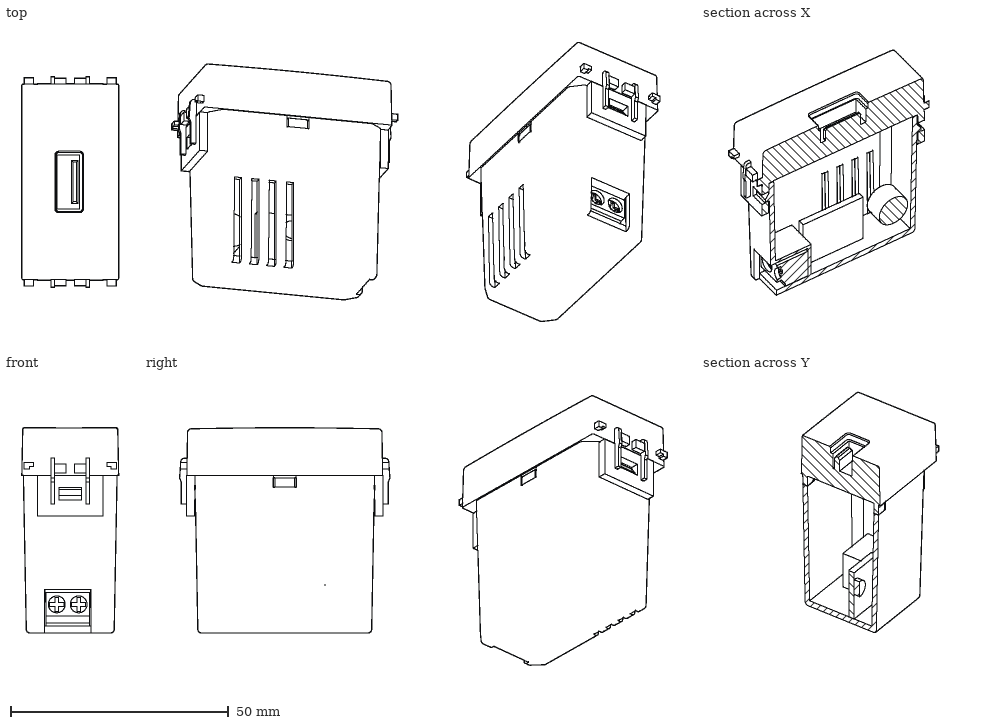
import cadquery as cq
import math

TOTAL_HEIGHT = 47.25
PARTING_Z = 36.25
ENDS = (-1, 1)

CASE_HALF_X = 10.8
CASE_HALF_Y = 20.65
CASE_TAPER = 0.7
CASE_CORNER = 2.75
CASE_CORNER_ROUND = 1.0
CASE_BOTTOM_ROUND = 0.95
WALL = 1.45
FLOOR = 1.7
SLOT_COUNT = 4
SLOT_PITCH = 4.15
FIRST_SLOT_Y = 1.8
SLOT_TOP_Z = 20.2
SLOT_TOP_WIDTH = 1.65
SLOT_BOTTOM_WIDTH = 1.85
OPENING_TOP_Z = 10.05
OPENING_X = -0.6
OPENING_TOP_WIDTH = 10.5
OPENING_BOTTOM_WIDTH = 10.7
BAY_WALL = 0.95
NOTCH_WIDTH = 5.2
NOTCH_BOTTOM_Z = 33.6
CATCH_PEAK_Y = 21.7
CATCH_TOP_Z = 33.05
CATCH_PEAK_Z = 31.6

COVER_HALF_X = 11.155
COVER_TOP_HALF_X = 10.95
COVER_HALF_Y = 22.5
COVER_TOP_HALF_Y = 22.35
CROWN = 0.25
COVER_END_ROUND = 0.95
COVER_SIDE_ROUND = 0.45
APRON_HALF_X = 7.55
APRON_Y = 22.6
APRON_BOTTOM_Z = 26.9
WINDOW_WIDTH = 5.15
WINDOW_BOTTOM_Z = 30.6
WINDOW_TOP_Z = 33.45
RIB_X = 4.0
RIB_WIDTH = 0.8
RIB_BOTTOM_Z = 29.65
RIB_TOP_Z = 40.2
RIB_BASE_Y = 23.8
RIB_CLAW_Y = 24.2
RIB_SHOULDER_Y = 23.9
RIB_ROUND = 0.8
CLAW_BOTTOM_Z = 34.75
CLAW_PEAK_Z = 35.65
TAB_INNER_X = 0.95
TAB_Y = 23.85
TAB_BOTTOM_Z = 36.8
TAB_TOP_Z = 38.9
LUG_INNER_X = 8.4
LUG_STEP_X = 9.4
LUG_OUTER_X = 10.6
LUG_Y = 23.95
LUG_BOTTOM_Z = 37.75
LUG_STEP_Z = 38.3
LUG_TOP_Z = 39.25
TONGUE_WIDTH = 4.55
TONGUE_LIP_Z = 35.65

PORT_X = -0.25
PORT_WIDTH_X = 6.05
PORT_WIDTH_Y = 13.6
PORT_ROUND = 0.7
PORT_EDGE = 0.3
LEDGE_Z = TOTAL_HEIGHT - 1.7
SOCKET_X = -0.46
SOCKET_WIDTH_X = 5.2
SOCKET_WIDTH_Y = 12.5
SOCKET_FLOOR_Z = TOTAL_HEIGHT - 5.8
CONTACT_X = 1.0
CONTACT_WIDTH_X = 1.5
CONTACT_WIDTH_Y = 9.85
CONTACT_TOP_Z = TOTAL_HEIGHT - 2.15
CONTACT_BEVEL = 0.4
CONTACT_TIP = 0.7

TERMINAL_WIDTH = 10.0
TERMINAL_FRONT_Y = -18.4
TERMINAL_BACK_Y = -9.85
TERMINAL_TOP_Z = 9.35
TERMINAL_NOSE_Z = 3.95
TERMINAL_TOE_Z = 2.3
TERMINAL_OVERHANG = 1.3
TERMINAL_SLOPE = 0.95
SCREW_PITCH = 5.05
SCREW_Z = 6.65
SCREW_RADIUS = 1.95
SCREW_RECESS = 1.05
CROSS_LENGTH = 3.25
CROSS_WIDTH = 0.85
CROSS_DEPTH = 0.5

BOARD_FACE_X = -3.85
BOARD_THICKNESS = 1.6
BOARD_END_Y = 7.75
BOARD_TOP_Z = 14.6
SMALL_CAPACITOR_Y = -0.15
SMALL_CAPACITOR_Z = 10.55
SMALL_CAPACITOR_RADIUS = 2.15
SMALL_CAPACITOR_LENGTH = 1.45
LARGE_CAPACITOR_Y = 14.0
LARGE_CAPACITOR_Z = 9.65
LARGE_CAPACITOR_RADIUS = 4.0
LARGE_CAPACITOR_LENGTH = 9.7

CASE_SLOPE = CASE_TAPER / PARTING_Z
TAPER_ANGLE = math.degrees(math.atan(CASE_SLOPE))
INNER_BOTTOM_X = CASE_HALF_X - CASE_TAPER - WALL
INNER_BOTTOM_Y = CASE_HALF_Y - CASE_TAPER - WALL


def box(x0, x1, y0, y1, z0, z1):
    """Box between two opposite corners, given in any order."""
    size = (abs(x1 - x0), abs(y1 - y0), abs(z1 - z0))
    return cq.Workplane("XY").box(*size).translate(((x0 + x1) / 2, (y0 + y1) / 2, (z0 + z1) / 2))


def extrude_along_x(outline_yz, x0, x1):
    """Prism between x0 and x1 with a (Y, Z) outline."""
    return cq.Workplane("YZ", origin=(x0, 0, 0)).polyline(outline_yz).close().extrude(x1 - x0)


def extrude_along_y(outline_xz, y0, y1):
    """Prism between y0 and y1 with an (X, Z) outline."""
    return cq.Workplane("XZ", origin=(0, y0, 0)).polyline(outline_xz).close().extrude(y0 - y1)


def tapered_prism(inset, depth):
    """Chamfered rectangle at the parting plane, extruded down with the taper of the case."""
    prism = (
        cq.Workplane("XY")
        .rect(2 * (CASE_HALF_X - inset), 2 * (CASE_HALF_Y - inset))
        .extrude(depth, taper=TAPER_ANGLE)
        .edges("not(#Z)").edges("not(|X or |Y)")
        .chamfer(CASE_CORNER - inset * (2 - math.sqrt(2)))
    )
    return prism.mirror("XY").translate((0, 0, PARTING_Z))


def case_shell():
    outside = tapered_prism(0, PARTING_Z).edges("not(#Z)").edges("not(|X or |Y)").fillet(CASE_CORNER_ROUND)
    outside = outside.faces("<Z").edges().fillet(CASE_BOTTOM_ROUND)
    return outside.cut(tapered_prism(WALL, PARTING_Z - FLOOR))


def downward_slot(middle, top_width, bottom_width, top_z):
    """Outline of a slot that is open at the bottom and widens downwards."""
    return [
        (middle - bottom_width / 2, 0),
        (middle - top_width / 2, top_z),
        (middle + top_width / 2, top_z),
        (middle + bottom_width / 2, 0),
    ]


def cut_vent_slots(case):
    for index in range(SLOT_COUNT):
        middle = FIRST_SLOT_Y + index * SLOT_PITCH
        outline = downward_slot(middle, SLOT_TOP_WIDTH, SLOT_BOTTOM_WIDTH, SLOT_TOP_Z)
        case = case.cut(extrude_along_x(outline, -CASE_HALF_X, -INNER_BOTTOM_X))
    return case


def add_terminal_bay(case):
    """Box inside the case, closed except towards the terminal opening."""
    half = OPENING_BOTTOM_WIDTH / 2
    left = OPENING_X - half
    right = OPENING_X + half
    bay = box(
        left - BAY_WALL,
        right + BAY_WALL,
        -INNER_BOTTOM_Y - WALL / 2,
        TERMINAL_BACK_Y + BAY_WALL,
        FLOOR / 2,
        OPENING_TOP_Z + BAY_WALL,
    )
    room = box(left, right, -INNER_BOTTOM_Y, TERMINAL_BACK_Y, FLOOR, OPENING_TOP_Z)
    return case.union(bay).cut(room)


def cut_terminal_opening(case):
    outline = downward_slot(OPENING_X, OPENING_TOP_WIDTH, OPENING_BOTTOM_WIDTH, OPENING_TOP_Z)
    return case.cut(extrude_along_y(outline, -CASE_HALF_Y, -INNER_BOTTOM_Y))


def cut_side_notches(case):
    half = NOTCH_WIDTH / 2
    return case.cut(box(-CASE_HALF_X, CASE_HALF_X, -half, half, NOTCH_BOTTOM_Z, PARTING_Z))


def add_catches(case):
    half = WINDOW_WIDTH / 2
    root_y = CASE_HALF_Y - WALL / 2
    for end in ENDS:
        wedge = [
            (end * root_y, WINDOW_BOTTOM_Z),
            (end * CATCH_PEAK_Y, WINDOW_BOTTOM_Z),
            (end * CATCH_PEAK_Y, CATCH_PEAK_Z),
            (end * CASE_HALF_Y, CATCH_TOP_Z),
            (end * root_y, CATCH_TOP_Z),
        ]
        case = case.union(extrude_along_x(wedge, -half, half))
    return case


def make_case():
    case = cut_vent_slots(case_shell())
    case = add_terminal_bay(case)
    case = cut_terminal_opening(case)
    case = cut_side_notches(case)
    return add_catches(case)


def cover_cap():
    """Drafted cap with a slightly crowned top and rounded edges."""
    shoulder_z = TOTAL_HEIGHT - CROWN
    lengthwise = (
        cq.Workplane("YZ", origin=(-COVER_HALF_X, 0, 0))
        .moveTo(-COVER_HALF_Y, PARTING_Z)
        .lineTo(-COVER_TOP_HALF_Y, shoulder_z)
        .threePointArc((0, TOTAL_HEIGHT), (COVER_TOP_HALF_Y, shoulder_z))
        .lineTo(COVER_HALF_Y, PARTING_Z)
        .close()
        .extrude(2 * COVER_HALF_X)
        .edges("|X").edges(">Z").fillet(COVER_END_ROUND)
    )
    crosswise = extrude_along_y(
        [
            (-COVER_HALF_X, PARTING_Z),
            (-COVER_TOP_HALF_X, TOTAL_HEIGHT),
            (COVER_TOP_HALF_X, TOTAL_HEIGHT),
            (COVER_HALF_X, PARTING_Z),
        ],
        -COVER_HALF_Y,
        COVER_HALF_Y,
    )
    cap = lengthwise.intersect(crosswise)
    return cap.edges("not(|X or |Y)").fillet(COVER_SIDE_ROUND)


def apron(end):
    half = WINDOW_WIDTH / 2
    outside = end * APRON_Y
    inside = end * CASE_HALF_Y
    plate = box(-APRON_HALF_X, APRON_HALF_X, inside, outside, APRON_BOTTOM_Z, PARTING_Z)
    return plate.cut(box(-half, half, inside, outside, WINDOW_BOTTOM_Z, WINDOW_TOP_Z))


def claw_rib(end, side):
    inside_y = COVER_TOP_HALF_Y - 0.5
    middle = math.sqrt(0.5) * RIB_ROUND
    round_y = RIB_SHOULDER_Y - RIB_ROUND
    round_z = RIB_TOP_Z - RIB_ROUND
    return (
        cq.Workplane("YZ", origin=(side * RIB_X - RIB_WIDTH / 2, 0, 0))
        .moveTo(end * inside_y, RIB_BOTTOM_Z)
        .lineTo(end * RIB_BASE_Y, RIB_BOTTOM_Z)
        .lineTo(end * RIB_BASE_Y, CLAW_BOTTOM_Z)
        .lineTo(end * RIB_CLAW_Y, CLAW_PEAK_Z)
        .lineTo(end * RIB_SHOULDER_Y, round_z)
        .threePointArc((end * (round_y + middle), round_z + middle), (end * round_y, RIB_TOP_Z))
        .lineTo(end * inside_y, RIB_TOP_Z)
        .close()
        .extrude(RIB_WIDTH)
    )


def tab(end, side):
    inside_y = COVER_TOP_HALF_Y - 0.5
    return box(side * TAB_INNER_X, side * RIB_X, end * inside_y, end * TAB_Y, TAB_BOTTOM_Z, TAB_TOP_Z)


def lug(end, side):
    outline = [
        (side * LUG_INNER_X, LUG_TOP_Z),
        (side * LUG_INNER_X, LUG_STEP_Z),
        (side * LUG_STEP_X, LUG_STEP_Z),
        (side * LUG_STEP_X, LUG_BOTTOM_Z),
        (side * LUG_OUTER_X, LUG_BOTTOM_Z),
        (side * LUG_OUTER_X, LUG_TOP_Z),
    ]
    inside_y = COVER_TOP_HALF_Y - 0.5
    return extrude_along_y(outline, end * inside_y, end * LUG_Y)


def side_tongue(side):
    """T-shaped tongue whose outer face is flush with the case at the parting plane."""
    outside = side * CASE_HALF_X
    lower_outside = side * (CASE_HALF_X - (PARTING_Z - NOTCH_BOTTOM_Z) * CASE_SLOPE)
    inside = side * (CASE_HALF_X - WALL)
    lip = box(inside, outside, -NOTCH_WIDTH / 2, NOTCH_WIDTH / 2, TONGUE_LIP_Z, PARTING_Z)
    plate = box(inside, lower_outside, -TONGUE_WIDTH / 2, TONGUE_WIDTH / 2, NOTCH_BOTTOM_Z, PARTING_Z)
    return lip.union(plate)


def cut_usb_port(cover):
    mouth = (
        cq.Workplane("XY", origin=(PORT_X, 0, LEDGE_Z))
        .rect(PORT_WIDTH_X, PORT_WIDTH_Y)
        .extrude(TOTAL_HEIGHT - LEDGE_Z)
        .edges("|Z").fillet(PORT_ROUND)
    )
    flare = (
        cq.Workplane("XY", origin=(PORT_X, 0, TOTAL_HEIGHT - PORT_EDGE))
        .rect(PORT_WIDTH_X + 2 * PORT_EDGE, PORT_WIDTH_Y + 2 * PORT_EDGE)
        .extrude(2 * PORT_EDGE)
        .edges("|Z").fillet(PORT_ROUND + PORT_EDGE)
        .faces("<Z").chamfer(PORT_EDGE)
    )
    socket = (
        cq.Workplane("XY", origin=(SOCKET_X, 0, SOCKET_FLOOR_Z))
        .rect(SOCKET_WIDTH_X, SOCKET_WIDTH_Y)
        .extrude(LEDGE_Z - SOCKET_FLOOR_Z)
    )
    contact = (
        cq.Workplane("XY", origin=(CONTACT_X, 0, SOCKET_FLOOR_Z))
        .rect(CONTACT_WIDTH_X, CONTACT_WIDTH_Y)
        .extrude(CONTACT_TOP_Z - CONTACT_TIP - SOCKET_FLOOR_Z)
        .faces(">Z").wires().toPending()
        .extrude(CONTACT_TIP, taper=math.degrees(math.atan(CONTACT_BEVEL / CONTACT_TIP)))
    )
    return cover.cut(mouth).cut(flare).cut(socket).union(contact)


def make_cover():
    cover = cover_cap()
    for end in ENDS:
        cover = cover.union(apron(end))
        for side in ENDS:
            cover = cover.union(claw_rib(end, side)).union(tab(end, side)).union(lug(end, side))
    for side in ENDS:
        cover = cover.union(side_tongue(side))
    return cut_usb_port(cover)


def make_terminal_block():
    slope_y = TERMINAL_FRONT_Y + TERMINAL_OVERHANG
    toe_y = slope_y + TERMINAL_SLOPE
    outline = [
        (TERMINAL_BACK_Y, FLOOR),
        (toe_y, FLOOR),
        (toe_y, TERMINAL_TOE_Z),
        (slope_y, TERMINAL_NOSE_Z),
        (TERMINAL_FRONT_Y, TERMINAL_NOSE_Z),
        (TERMINAL_FRONT_Y, TERMINAL_TOP_Z),
        (TERMINAL_BACK_Y, TERMINAL_TOP_Z),
    ]
    block = extrude_along_x(outline, OPENING_X - TERMINAL_WIDTH / 2, OPENING_X + TERMINAL_WIDTH / 2)
    screw_points = [(-SCREW_PITCH / 2, 0), (SCREW_PITCH / 2, 0)]
    front = cq.Workplane("XZ", origin=(OPENING_X, TERMINAL_FRONT_Y, SCREW_Z)).pushPoints(screw_points)
    depth = SCREW_RECESS + CROSS_DEPTH
    block = block.cut(front.circle(SCREW_RADIUS).extrude(-SCREW_RECESS))
    block = block.cut(front.rect(CROSS_LENGTH, CROSS_WIDTH).extrude(-depth))
    return block.cut(front.rect(CROSS_WIDTH, CROSS_LENGTH).extrude(-depth))


def make_board():
    back_x = BOARD_FACE_X + BOARD_THICKNESS
    start_y = TERMINAL_BACK_Y + BAY_WALL
    return box(BOARD_FACE_X, back_x, start_y, BOARD_END_Y, FLOOR, BOARD_TOP_Z)


def make_capacitor(start_x, length, y, z, radius):
    """Cylinder lying along X."""
    return cq.Workplane("YZ", origin=(start_x, y, z)).circle(radius).extrude(length)


case = make_case()
cover = make_cover()
terminal_block = make_terminal_block()
board = make_board()
small_capacitor = make_capacitor(
    BOARD_FACE_X - SMALL_CAPACITOR_LENGTH,
    SMALL_CAPACITOR_LENGTH,
    SMALL_CAPACITOR_Y,
    SMALL_CAPACITOR_Z,
    SMALL_CAPACITOR_RADIUS,
)
large_capacitor = make_capacitor(
    BOARD_FACE_X,
    LARGE_CAPACITOR_LENGTH,
    LARGE_CAPACITOR_Y,
    LARGE_CAPACITOR_Z,
    LARGE_CAPACITOR_RADIUS,
)

result = cq.Compound.makeCompound(
    [
        case.val(),
        cover.val(),
        terminal_block.val(),
        board.val(),
        small_capacitor.val(),
        large_capacitor.val(),
    ]
)